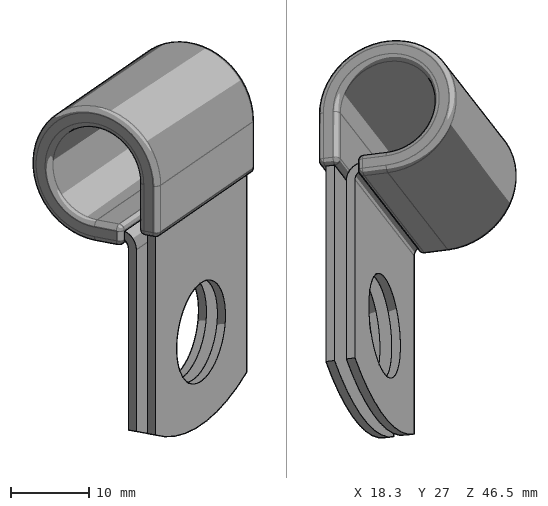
import cadquery as cq
import math

total_height = 46.45

cushion_outer_radius = 9.15
cushion_thickness = 2.8
cushion_width = 27.0
cushion_edge_fillet = 0.75
cushion_foot_length = 3.9
cushion_drop_length = 7.1

strap_thickness = 1.15
strap_width = 25.3
bend_inner_radius = 1.15
near_leg_x = 5.0
hole_diameter = 13.45
hole_depth_below_axis = 24.55
end_arc_rise = 2.93

diagonal = math.sqrt(0.5)
loop_radius = cushion_outer_radius - cushion_thickness / 2
leg_bottom = cushion_outer_radius - total_height
leg_corner = leg_bottom + end_arc_rise
bend_radius = bend_inner_radius + strap_thickness / 2
bend_start_x = near_leg_x - bend_radius
bend_bottom = -loop_radius - bend_radius


def band_profile(thickness, foot_length, drop_length):
    """Loop band: foot, three-quarter turn and straight drop, in the XZ plane."""
    inner = loop_radius - thickness / 2
    outer = loop_radius + thickness / 2
    return (
        cq.Workplane("XZ")
        .moveTo(foot_length, -outer)
        .lineTo(0, -outer)
        .threePointArc((-outer * diagonal, outer * diagonal), (outer, 0))
        .lineTo(outer, -drop_length)
        .lineTo(inner, -drop_length)
        .lineTo(inner, 0)
        .threePointArc((-inner * diagonal, inner * diagonal), (0, -inner))
        .lineTo(foot_length, -inner)
        .close()
    )


def make_cushion():
    """Sleeve with the rims of both sides and the edges of both band ends rounded."""
    sleeve = band_profile(cushion_thickness, cushion_foot_length, cushion_drop_length)
    sleeve = sleeve.extrude(cushion_width / 2, both=True)
    foot_end = cq.selectors.NearestToPointSelector((cushion_foot_length, 0, -loop_radius))
    drop_end = cq.selectors.NearestToPointSelector((loop_radius, 0, -cushion_drop_length))
    rounded_edges = (
        sleeve.faces("|Y").edges()
        .add(sleeve.faces(foot_end).edges("|Y"))
        .add(sleeve.faces(drop_end).edges("|Y"))
    )
    return rounded_edges.fillet(cushion_edge_fillet)


def make_strap():
    """Loop core, the quarter bend below the foot, and both legs."""
    core = band_profile(strap_thickness, bend_start_x, -leg_bottom)
    core = core.extrude(strap_width / 2, both=True)

    bend_outer_radius = bend_inner_radius + strap_thickness
    leg_outer = near_leg_x + strap_thickness / 2
    leg_inner = near_leg_x - strap_thickness / 2
    bent_leg = (
        cq.Workplane("XZ")
        .moveTo(bend_start_x, bend_bottom + bend_outer_radius)
        .threePointArc(
            (
                bend_start_x + bend_outer_radius * diagonal,
                bend_bottom + bend_outer_radius * diagonal,
            ),
            (leg_outer, bend_bottom),
        )
        .lineTo(leg_outer, leg_bottom)
        .lineTo(leg_inner, leg_bottom)
        .lineTo(leg_inner, bend_bottom)
        .threePointArc(
            (
                bend_start_x + bend_inner_radius * diagonal,
                bend_bottom + bend_inner_radius * diagonal,
            ),
            (bend_start_x, bend_bottom + bend_inner_radius),
        )
        .close()
        .extrude(strap_width / 2, both=True)
    )
    return core.union(bent_leg)


def make_strap_envelope():
    """Side outline of the strap, with the curved lower end of the legs."""
    return (
        cq.Workplane("YZ")
        .moveTo(-strap_width / 2, cushion_outer_radius)
        .lineTo(-strap_width / 2, leg_corner)
        .threePointArc((0, leg_bottom), (strap_width / 2, leg_corner))
        .lineTo(strap_width / 2, cushion_outer_radius)
        .close()
        .extrude(cushion_outer_radius, both=True)
    )


def make_bolt_hole():
    """Cylinder that pierces both legs."""
    return (
        cq.Workplane("YZ")
        .center(0, -hole_depth_below_axis)
        .circle(hole_diameter / 2)
        .extrude(cushion_outer_radius)
    )


strap = make_strap().intersect(make_strap_envelope()).cut(make_bolt_hole())
result = make_cushion().union(strap)